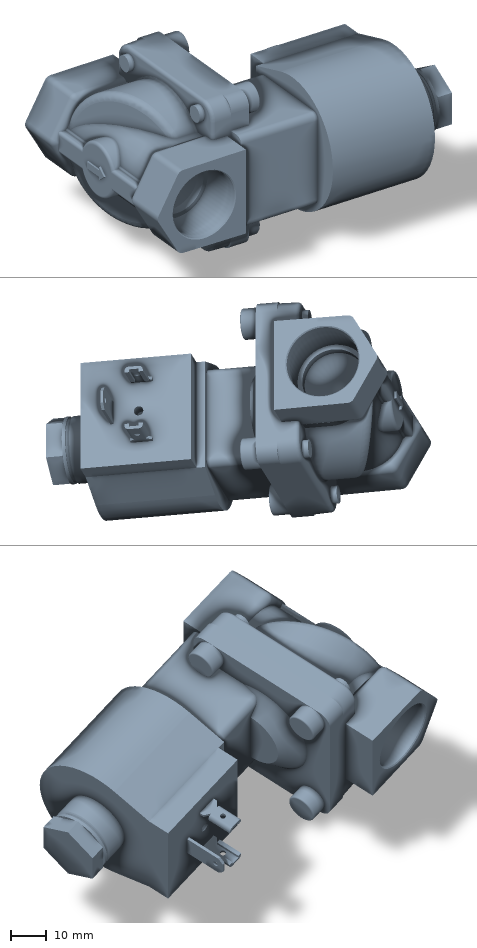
import cadquery as cq
import math


NUT_TOP = 88.7
HEX_BOTTOM = 84.0
COIL_TOP = 75.2
COIL_BOTTOM = 40.9
SCREW_HEAD_TOP = 26.3
BONNET_TOP = 21.3
JOINT_LEVEL = 15.2
PORT_TOP = 13.9
FLANGE_BOTTOM = 9.0
SCREW_TIP_LEVEL = 7.2
RIB_BOTTOM = -13.8

FLANGE_WIDTH = 48.0
BONNET_CORNER_RADIUS = 3.9
BODY_FLANGE_CORNER_RADIUS = 5.0
FLANGE_EDGE_RADIUS = 1.0
BODY_FLANGE_DRAFT = 1.5
CHAMBER_RADIUS = 20.6
CHAMBER_ROOT_RADIUS = 0.5
CHAMBER_EDGE_RADIUS = 2.2
FLOOR_LEVEL = -4.7
FLOOR_TILT = 19.6
PIPE_RADIUS = 12.6
PIPE_LEVEL = 1.0

HEX_HALF_ANGLE = 30.0

PORT_END = 33.4
PORT_INNER_END = 19.0
PORT_LENGTH = PORT_END - PORT_INNER_END
PORT_TOP_HALF_WIDTH = 13.4
PORT_CORNER_HALF_WIDTH = 13.2
PORT_TIP_LEVEL = -16.0
PORT_TIP_RADIUS = 2.1
PORT_SIDE_RADIUS = 2.1
PORT_INNER_EDGE_RADIUS = 2.1
THREAD_RADIUS = 10.3
THREAD_CHAMFER = 0.3
THREAD_DEPTH = 13.9
DRILL_RADIUS = 9.0
DRILL_DEPTH = 16.7
DRILL_POINT_ANGLE = 118.0

RIB_HALF_WIDTH = 3.3
RIB_ROOT_RADIUS = 0.7
RIB_HALF_LENGTH = 19.8
BOSS_RADIUS = 8.5
BOSS_EDGE_RADIUS = 0.9
ARROW_HEIGHT = 0.6
ARROW_TAIL = -4.2
ARROW_NECK = 2.0
ARROW_TIP = 4.5
ARROW_SHAFT_HALF_WIDTH = 1.0
ARROW_HEAD_HALF_WIDTH = 2.1

DOME_TOP_RADIUS = 9.6
DOME_BASE_RADIUS = 16.0
PEDESTAL_START = 0.0
PEDESTAL_END = 29.0
PEDESTAL_WIDTH = 29.2
PEDESTAL_CORNER_RADIUS = 2.1
SPIGOT_RADIUS = 12.0

SCREW_X = 17.7
SCREW_Z = 19.5
SCREW_HEAD_RADIUS = 4.4
SCREW_HEAD_EDGE_RADIUS = 0.4
SCREW_RADIUS = 2.5

COIL_AXIS_X = 16.3
COIL_RADIUS = 20.5
COIL_FLAT_X = -1.9
SOCKET_FACE_X = -8.6
SOCKET_HALF_WIDTH = 15.9
SOCKET_BOTTOM = 43.4
SOCKET_SCREW_HOLE_RADIUS = 1.4
SOCKET_SCREW_HOLE_LEVEL = 58.5
SOCKET_SCREW_HOLE_DEPTH = 4.2

HEX_ACROSS_FLATS = 17.3
SLEEVE_RADIUS = 9.5
SLEEVE_TOP = 82.0
GROOVE_RADIUS = 9.1
GROOVE_TOP = 83.1
GROOVE_BOTTOM = 82.5

TAG_THICKNESS = 0.8
TAG_LEVEL = 57.5
TAG_Z = 9.0
TAG_TIP_X = -18.7
TAG_SHOULDER_X = -11.2
TAG_ROOT_X = -9.8
TAG_ROOT_HALF_WIDTH = 3.1
TAG_NECK_HALF_WIDTH = 1.4
TAG_HALF_WIDTH = 2.6
TAG_LIP_WIDTH = 1.3
TAG_LIP_HEIGHT = 0.8
TAG_BEND_RADIUS = 1.1
TAG_HOLE_X = -14.3
TAG_HOLE_RADIUS = 0.8

BLADE_LEVEL = 66.1
BLADE_THICKNESS = 0.8
BLADE_HALF_WIDTH = 3.3
BLADE_TIP_X = -21.2
BLADE_CORNER = 1.6
BLADE_HOLE_X = -18.6
BLADE_HOLE_RADIUS = 0.8


def plan(top, x=0.0, z=0.0):
    """Sketch plane at height Y = top, X to the right and Z up; extrudes downwards."""
    return cq.Workplane("XZ", origin=(x, top, z))


def square_plate(top, bottom, width, corner_radius, draft=0.0):
    plate = plan(top).rect(width, width).extrude(top - bottom, taper=draft)
    return plate.edges("not (<Y or >Y)").fillet(corner_radius)


def body_flange():
    """Lower flange, slightly narrower towards its rounded bottom edge."""
    plate = square_plate(
        JOINT_LEVEL, FLANGE_BOTTOM, FLANGE_WIDTH, BODY_FLANGE_CORNER_RADIUS, BODY_FLANGE_DRAFT
    )
    return plate.faces("<Y").edges().fillet(FLANGE_EDGE_RADIUS)


def chamber():
    """Round chamber under the flange, closed by a floor that rises towards +X."""
    depth = 2 * CHAMBER_RADIUS
    barrel = plan(JOINT_LEVEL).circle(CHAMBER_RADIUS).extrude(depth)
    below_floor = (
        cq.Workplane("XY")
        .box(2 * depth, depth, 2 * depth)
        .translate((0, -depth / 2, 0))
        .rotate((0, 0, 0), (0, 0, 1), FLOOR_TILT)
        .translate((0, FLOOR_LEVEL, 0))
    )
    return barrel.cut(below_floor).faces("<Y").edges().fillet(CHAMBER_EDGE_RADIUS)


def chamber_root():
    """Concave round where the chamber wall meets the flange."""
    outer = CHAMBER_RADIUS + CHAMBER_ROOT_RADIUS
    low = FLANGE_BOTTOM - CHAMBER_ROOT_RADIUS
    return (
        cq.Workplane("XY")
        .moveTo(0, low)
        .lineTo(CHAMBER_RADIUS, low)
        .radiusArc((outer, FLANGE_BOTTOM), CHAMBER_ROOT_RADIUS)
        .lineTo(0, FLANGE_BOTTOM)
        .close()
        .revolve(360, (0, 0, 0), (0, 1, 0))
    )


def pipe_run():
    """U-shaped run between the ports: round below the pipe axis, straight up to the flange."""
    span = 2 * PORT_INNER_END
    wall = FLANGE_BOTTOM - PIPE_LEVEL
    pipe = (
        cq.Workplane("YZ", origin=(-PORT_INNER_END, PIPE_LEVEL, 0)).circle(PIPE_RADIUS).extrude(span)
    )
    shoulder = plan(FLANGE_BOTTOM).rect(span, 2 * PIPE_RADIUS).extrude(wall)
    return pipe.union(shoulder)


def port():
    """Port at the -X end: a flat-topped block with a hexagon's point below."""
    corner_level = PORT_TIP_LEVEL + PORT_CORNER_HALF_WIDTH * math.tan(math.radians(HEX_HALF_ANGLE))
    block = (
        cq.Workplane("YZ", origin=(-PORT_END, 0, 0))
        .moveTo(PORT_TOP, -PORT_TOP_HALF_WIDTH)
        .lineTo(corner_level, -PORT_CORNER_HALF_WIDTH)
        .lineTo(PORT_TIP_LEVEL, 0)
        .lineTo(corner_level, PORT_CORNER_HALF_WIDTH)
        .lineTo(PORT_TOP, PORT_TOP_HALF_WIDTH)
        .close()
        .extrude(PORT_LENGTH)
    )
    middle = -PORT_END + PORT_LENGTH / 2
    block = block.edges(cq.NearestToPointSelector((middle, PORT_TIP_LEVEL, 0))).fillet(PORT_TIP_RADIUS)
    for side in (-1, 1):
        corner = (middle, corner_level, side * PORT_CORNER_HALF_WIDTH)
        block = block.edges(cq.NearestToPointSelector(corner)).fillet(PORT_SIDE_RADIUS)
    return block.faces(">X").edges("not >Y").fillet(PORT_INNER_EDGE_RADIUS)


def port_bore():
    """Threaded hole with a chamfered mouth and a pointed core drilling, at the -X end."""
    thread_end = -PORT_END + THREAD_DEPTH
    drill_end = -PORT_END + DRILL_DEPTH
    point_length = DRILL_RADIUS / math.tan(math.radians(DRILL_POINT_ANGLE / 2))
    return (
        cq.Workplane("XY")
        .moveTo(-PORT_END, 0)
        .lineTo(-PORT_END, THREAD_RADIUS + THREAD_CHAMFER)
        .lineTo(-PORT_END + THREAD_CHAMFER, THREAD_RADIUS)
        .lineTo(thread_end, THREAD_RADIUS)
        .lineTo(thread_end, DRILL_RADIUS)
        .lineTo(drill_end, DRILL_RADIUS)
        .lineTo(drill_end + point_length, 0)
        .close()
        .revolve(360, (0, 0, 0), (1, 0, 0))
    )


def rib_and_boss():
    """Rib under the pipe run, flared into it by concave roots, with a round boss half way."""
    height = -RIB_BOTTOM
    rib = plan(0).rect(2 * RIB_HALF_LENGTH, 2 * RIB_HALF_WIDTH).extrude(height)
    boss = plan(0).circle(BOSS_RADIUS).extrude(height)
    rounded = rib.union(boss).faces("<Y").edges().fillet(BOSS_EDGE_RADIUS)
    return rounded.union(rib_root()).union(rib_root().mirror("XY"))


def rib_root():
    """Concave round between the +Z side of the rib and the pipe run."""
    centre_z = RIB_HALF_WIDTH + RIB_ROOT_RADIUS
    reach = PIPE_RADIUS + RIB_ROOT_RADIUS
    centre_y = PIPE_LEVEL - math.sqrt(reach**2 - centre_z**2)
    touch_y = PIPE_LEVEL + (centre_y - PIPE_LEVEL) * PIPE_RADIUS / reach
    touch_z = centre_z * PIPE_RADIUS / reach
    return (
        cq.Workplane("YZ", origin=(-PORT_INNER_END, 0, 0))
        .moveTo(centre_y, 0)
        .lineTo(centre_y, RIB_HALF_WIDTH)
        .radiusArc((touch_y, touch_z), RIB_ROOT_RADIUS)
        .lineTo(PIPE_LEVEL, 0)
        .close()
        .extrude(2 * PORT_INNER_END)
    )


def flow_arrow():
    return (
        plan(RIB_BOTTOM)
        .moveTo(ARROW_TAIL, -ARROW_SHAFT_HALF_WIDTH)
        .lineTo(ARROW_NECK, -ARROW_SHAFT_HALF_WIDTH)
        .lineTo(ARROW_NECK, -ARROW_HEAD_HALF_WIDTH)
        .lineTo(ARROW_TIP, 0)
        .lineTo(ARROW_NECK, ARROW_HEAD_HALF_WIDTH)
        .lineTo(ARROW_NECK, ARROW_SHAFT_HALF_WIDTH)
        .lineTo(ARROW_TAIL, ARROW_SHAFT_HALF_WIDTH)
        .close()
        .extrude(ARROW_HEIGHT)
    )


def bonnet():
    """Upper flange with a conical dome and the off-centre pedestal for the coil."""
    plate = square_plate(BONNET_TOP, JOINT_LEVEL, FLANGE_WIDTH, BONNET_CORNER_RADIUS)
    dome = (
        cq.Workplane("XY")
        .moveTo(0, BONNET_TOP)
        .lineTo(DOME_BASE_RADIUS, BONNET_TOP)
        .lineTo(DOME_TOP_RADIUS, SCREW_HEAD_TOP)
        .lineTo(0, SCREW_HEAD_TOP)
        .close()
        .revolve(360, (0, 0, 0), (0, 1, 0))
    )
    pedestal_x = (PEDESTAL_START + PEDESTAL_END) / 2
    pedestal = (
        plan(COIL_BOTTOM, x=pedestal_x)
        .rect(PEDESTAL_END - PEDESTAL_START, PEDESTAL_WIDTH)
        .extrude(COIL_BOTTOM - JOINT_LEVEL)
        .edges("|Y")
        .fillet(PEDESTAL_CORNER_RADIUS)
    )
    spigot = plan(JOINT_LEVEL, x=COIL_AXIS_X).circle(SPIGOT_RADIUS).extrude(JOINT_LEVEL - PORT_TOP)
    return plate.union(dome).union(pedestal).union(spigot)


def flange_screw(x, z):
    head = plan(SCREW_HEAD_TOP, x, z).circle(SCREW_HEAD_RADIUS).extrude(SCREW_HEAD_TOP - BONNET_TOP)
    head = head.faces(">Y").edges().fillet(SCREW_HEAD_EDGE_RADIUS)
    shank = plan(BONNET_TOP, x, z).circle(SCREW_RADIUS).extrude(BONNET_TOP - SCREW_TIP_LEVEL)
    return head.union(shank)


def valve():
    solid = body_flange().union(chamber()).union(chamber_root()).union(pipe_run())
    solid = solid.union(rib_and_boss()).union(flow_arrow())
    solid = solid.union(port()).union(port().mirror("YZ"))
    solid = solid.union(bonnet())
    for x in (-SCREW_X, SCREW_X):
        for z in (-SCREW_Z, SCREW_Z):
            solid = solid.union(flange_screw(x, z))
    return solid.cut(port_bore()).cut(port_bore().mirror("YZ"))


def coil_housing():
    """Round housing whose sides run tangentially into a narrower flat face."""
    reach = COIL_AXIS_X - COIL_FLAT_X
    to_corner = math.hypot(reach, SOCKET_HALF_WIDTH)
    corner_angle = math.atan2(SOCKET_HALF_WIDTH, -reach)
    tangent_angle = corner_angle - math.acos(COIL_RADIUS / to_corner)
    tangent_x = COIL_AXIS_X + COIL_RADIUS * math.cos(tangent_angle)
    tangent_z = COIL_RADIUS * math.sin(tangent_angle)
    return (
        plan(COIL_TOP)
        .moveTo(COIL_FLAT_X, -SOCKET_HALF_WIDTH)
        .lineTo(tangent_x, -tangent_z)
        .threePointArc((COIL_AXIS_X + COIL_RADIUS, 0), (tangent_x, tangent_z))
        .lineTo(COIL_FLAT_X, SOCKET_HALF_WIDTH)
        .close()
        .extrude(COIL_TOP - COIL_BOTTOM)
    )


def socket_block():
    depth = COIL_FLAT_X - SOCKET_FACE_X
    return (
        plan(COIL_TOP, x=SOCKET_FACE_X + depth / 2)
        .rect(depth, 2 * SOCKET_HALF_WIDTH)
        .extrude(COIL_TOP - SOCKET_BOTTOM)
    )


def socket_screw_hole():
    """Blind drilled hole with a pointed bottom in the socket face."""
    point_length = SOCKET_SCREW_HOLE_RADIUS / math.tan(math.radians(DRILL_POINT_ANGLE / 2))
    bottom = SOCKET_FACE_X + SOCKET_SCREW_HOLE_DEPTH
    hole = (
        cq.Workplane("XY")
        .moveTo(SOCKET_FACE_X, 0)
        .lineTo(SOCKET_FACE_X, SOCKET_SCREW_HOLE_RADIUS)
        .lineTo(bottom, SOCKET_SCREW_HOLE_RADIUS)
        .lineTo(bottom + point_length, 0)
        .close()
        .revolve(360, (0, 0, 0), (1, 0, 0))
    )
    return hole.translate((0, SOCKET_SCREW_HOLE_LEVEL, 0))


def contact_tag():
    """Upper contact tag: waisted plate with two folded lips facing the coil axis."""
    plate = (
        cq.Workplane("XY", origin=(0, TAG_LEVEL, TAG_Z - TAG_THICKNESS / 2))
        .moveTo(SOCKET_FACE_X, TAG_ROOT_HALF_WIDTH)
        .lineTo(TAG_ROOT_X, TAG_ROOT_HALF_WIDTH)
        .lineTo(TAG_SHOULDER_X, TAG_NECK_HALF_WIDTH)
        .lineTo(TAG_SHOULDER_X, TAG_HALF_WIDTH)
        .lineTo(TAG_TIP_X, TAG_HALF_WIDTH)
        .lineTo(TAG_TIP_X, 0)
        .lineTo(SOCKET_FACE_X, 0)
        .close()
        .extrude(TAG_THICKNESS)
    )
    lip_x = (TAG_SHOULDER_X + TAG_TIP_X) / 2
    lip = (
        cq.Workplane("XY")
        .box(TAG_SHOULDER_X - TAG_TIP_X, TAG_LIP_WIDTH, TAG_LIP_HEIGHT)
        .translate((
            lip_x,
            TAG_LEVEL + TAG_HALF_WIDTH - TAG_LIP_WIDTH / 2,
            TAG_Z - (TAG_THICKNESS + TAG_LIP_HEIGHT) / 2,
        ))
    )
    half = plate.union(lip)
    outer_edge = (lip_x, TAG_LEVEL + TAG_HALF_WIDTH, TAG_Z + TAG_THICKNESS / 2)
    half = half.edges(cq.NearestToPointSelector(outer_edge)).fillet(TAG_BEND_RADIUS)
    tag = half.union(half.mirror("XZ", (0, TAG_LEVEL, 0)))
    hole = (
        cq.Workplane("XY", origin=(TAG_HOLE_X, TAG_LEVEL, TAG_Z))
        .circle(TAG_HOLE_RADIUS)
        .extrude(TAG_THICKNESS, both=True)
    )
    return tag.cut(hole)


def earth_blade():
    length = SOCKET_FACE_X - BLADE_TIP_X
    top = BLADE_LEVEL + BLADE_THICKNESS / 2
    blade = (
        plan(top, x=BLADE_TIP_X + length / 2)
        .rect(length, 2 * BLADE_HALF_WIDTH)
        .extrude(BLADE_THICKNESS)
        .edges("|Y and <X")
        .chamfer(BLADE_CORNER)
    )
    hole = plan(top, x=BLADE_HOLE_X).circle(BLADE_HOLE_RADIUS).extrude(BLADE_THICKNESS)
    return blade.cut(hole)


def coil_nut():
    """Grooved sleeve with a hexagon on top, corners along Z."""
    sleeve = (
        cq.Workplane("XY", origin=(COIL_AXIS_X, 0, 0))
        .moveTo(0, COIL_TOP)
        .lineTo(SLEEVE_RADIUS, COIL_TOP)
        .lineTo(SLEEVE_RADIUS, SLEEVE_TOP)
        .lineTo(GROOVE_RADIUS, GROOVE_BOTTOM)
        .lineTo(GROOVE_RADIUS, GROOVE_TOP)
        .lineTo(SLEEVE_RADIUS, GROOVE_TOP)
        .lineTo(SLEEVE_RADIUS, HEX_BOTTOM)
        .lineTo(0, HEX_BOTTOM)
        .close()
        .revolve(360, (0, 0, 0), (0, 1, 0))
    )
    across_corners = HEX_ACROSS_FLATS / math.cos(math.radians(HEX_HALF_ANGLE))
    hexagon = (
        cq.Workplane("XZ")
        .polygon(6, across_corners)
        .extrude(NUT_TOP - HEX_BOTTOM)
        .rotate((0, 0, 0), (0, 1, 0), HEX_HALF_ANGLE)
        .translate((COIL_AXIS_X, NUT_TOP, 0))
    )
    return sleeve.union(hexagon)


def coil():
    solid = coil_housing().union(socket_block()).union(coil_nut())
    solid = solid.union(contact_tag()).union(contact_tag().mirror("XY"))
    solid = solid.union(earth_blade())
    return solid.cut(socket_screw_hole())


valve_body = valve()
coil_body = coil()

result = cq.Compound.makeCompound([valve_body.solids().val(), coil_body.solids().val()])